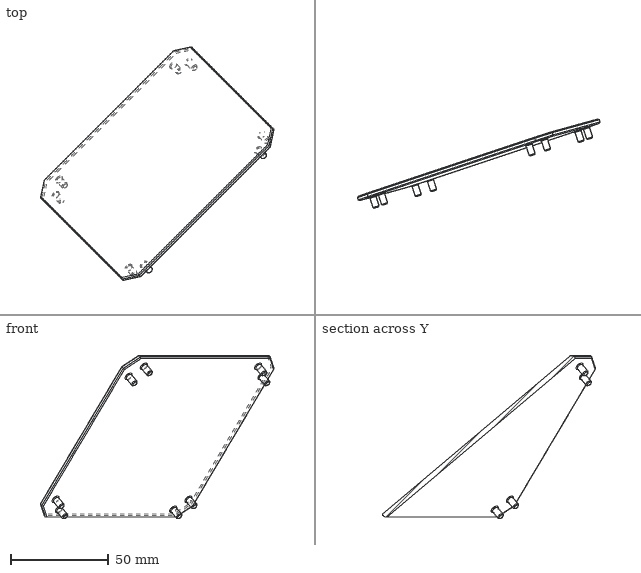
import cadquery as cq
import math

tilt = 50.0
length = 110.0
width = 107.7
thickness = 2.4
corner_cut = 7.7
edge_bevel = 0.6

pin_diameter = 3.4
pin_length = 6.0
pin_tip_bevel = 0.5
pin_foot_height = 0.5
pin_foot_flare = 0.5
pin_inset_length = 6.6
pin_inset_width = 5.8
pin_pair_step = 6.7


def make_plate():
    """Rectangular plate with cut corners and both rims bevelled, underside at Z = 0."""
    plate = cq.Workplane("XY").rect(length, width).extrude(thickness)
    plate = plate.edges("|Z").chamfer(corner_cut)
    return plate.faces("<Z or >Z").edges().chamfer(edge_bevel)


def make_pin():
    """Pin hanging below Z = 0, with a flared foot and a bevelled tip."""
    radius = pin_diameter / 2
    profile = (
        cq.Workplane("XZ")
        .moveTo(0, thickness / 2)
        .lineTo(radius + pin_foot_flare, thickness / 2)
        .lineTo(radius + pin_foot_flare, 0)
        .lineTo(radius, -pin_foot_height)
        .lineTo(radius, -pin_length + pin_tip_bevel)
        .lineTo(radius - pin_tip_bevel, -pin_length)
        .lineTo(0, -pin_length)
        .close()
    )
    return profile.revolve(360, (0, 0, 0), (0, 1, 0))


def pin_positions():
    """A pair of pins at each corner, one beside each end of the corner cut."""
    positions = []
    for side_x in (-1, 1):
        for side_y in (-1, 1):
            for step_x, step_y in ((0, pin_pair_step), (pin_pair_step, 0)):
                x = side_x * (length / 2 - pin_inset_length - step_x)
                y = side_y * (width / 2 - pin_inset_width - step_y)
                positions.append((x, y))
    return positions


part = make_plate()
pin = make_pin()
for x, y in pin_positions():
    part = part.union(pin.translate((x, y, 0)))

slope = math.radians(tilt)
normal_across = math.sin(slope) / math.sqrt(2)
leaning_plane = cq.Plane(
    origin=(0, 0, 0),
    xDir=(1, 1, 0),
    normal=(-normal_across, normal_across, math.cos(slope)),
)
result = cq.Workplane(part.val().moved(cq.Location(leaning_plane)))